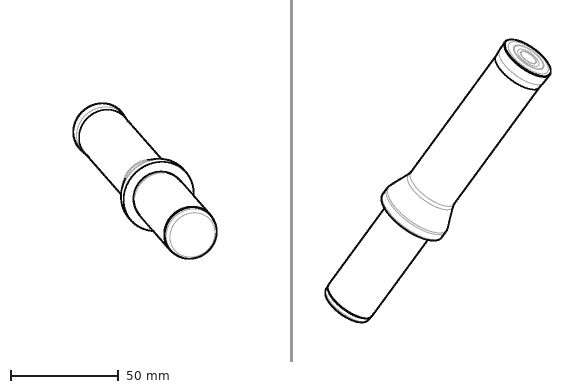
import cadquery as cq

TOTAL_LENGTH = 156.0
HEAD_LENGTH = 9.0
HEAD_TAPER_BREAK = 5.6
CONE_START = 83.0
CONE_END = 95.2
COLLAR_END = 99.7
NECK_LENGTH = 1.4
NECK_RAMP = 1.0
STEP_START = 152.3
STEP_RAMP = 0.5

SHANK_RADIUS = 25.0 / 2
RELIEF_RADIUS = 24.5 / 2
COLLAR_RADIUS = 34.0 / 2
HEAD_RADIUS = 13.0
HEAD_BREAK_RADIUS = 12.8

CONE_ROOT_FILLET = 5.3
CONE_CREST_FILLET = 2.7
COLLAR_CHAMFER_LENGTH = 0.8
COLLAR_CHAMFER_DEPTH = 0.08
REAR_FILLET = 1.4
HEAD_CHAMFER = 0.3
HEAD_RIM_DEPTH = 0.5

CROWN_BASE_RADIUS = 11.0
CROWN_OUTER_RADIUS = 8.5
CROWN_INNER_RADIUS = 8.0
VALLEY_RADIUS = 6.0
RIDGE_OUTER_RADIUS = 4.4
RIDGE_INNER_RADIUS = 4.0
CROWN_BASE_DEPTH = 0.3
VALLEY_DEPTH = 0.3
RIDGE_DEPTH = 0.2
DIMPLE_DEPTH = 0.3

EDGE_BAND = 0.02


def revolve_about_x(profile):
    """Turn a closed (x, radius) outline a full revolution about the X axis."""
    return cq.Workplane("XY").polyline(profile).close().revolve(360, (0, 0, 0), (1, 0, 0))


def round_edge_at(body, x, radius):
    """Fillet the circular edge that lies in the plane at the given x."""
    reach = 2 * COLLAR_RADIUS
    slab = cq.selectors.BoxSelector(
        (x - EDGE_BAND, -reach, -reach), (x + EDGE_BAND, reach, reach), boundingbox=True
    )
    return body.edges(slab).edges("%CIRCLE").fillet(radius)


def make_head():
    """Back-tapered tip with a shallow ringed front face."""
    return revolve_about_x([
        (DIMPLE_DEPTH, 0),
        (RIDGE_DEPTH, RIDGE_INNER_RADIUS),
        (RIDGE_DEPTH, RIDGE_OUTER_RADIUS),
        (VALLEY_DEPTH, VALLEY_RADIUS),
        (0, CROWN_INNER_RADIUS),
        (0, CROWN_OUTER_RADIUS),
        (CROWN_BASE_DEPTH, CROWN_BASE_RADIUS),
        (HEAD_RIM_DEPTH, HEAD_RADIUS - HEAD_CHAMFER),
        (HEAD_RIM_DEPTH + HEAD_CHAMFER, HEAD_RADIUS),
        (HEAD_TAPER_BREAK, HEAD_BREAK_RADIUS),
        (HEAD_LENGTH, SHANK_RADIUS),
        (HEAD_LENGTH, 0),
    ])


def make_shank():
    """Long shank with a conical collar, a relief behind it and a stepped rear end."""
    neck_end = COLLAR_END + NECK_LENGTH
    shank = revolve_about_x([
        (HEAD_LENGTH, 0),
        (HEAD_LENGTH, SHANK_RADIUS),
        (CONE_START, SHANK_RADIUS),
        (CONE_END, COLLAR_RADIUS),
        (COLLAR_END - COLLAR_CHAMFER_LENGTH, COLLAR_RADIUS),
        (COLLAR_END, COLLAR_RADIUS - COLLAR_CHAMFER_DEPTH),
        (COLLAR_END, RELIEF_RADIUS),
        (neck_end, RELIEF_RADIUS),
        (neck_end + NECK_RAMP, SHANK_RADIUS),
        (STEP_START, SHANK_RADIUS),
        (STEP_START + STEP_RAMP, RELIEF_RADIUS),
        (TOTAL_LENGTH, RELIEF_RADIUS),
        (TOTAL_LENGTH, 0),
    ])
    shank = round_edge_at(shank, CONE_START, CONE_ROOT_FILLET)
    shank = round_edge_at(shank, CONE_END, CONE_CREST_FILLET)
    return round_edge_at(shank, TOTAL_LENGTH, REAR_FILLET)


head = make_head()
shank = make_shank()

result = cq.Compound.makeCompound([head.val(), shank.val()])